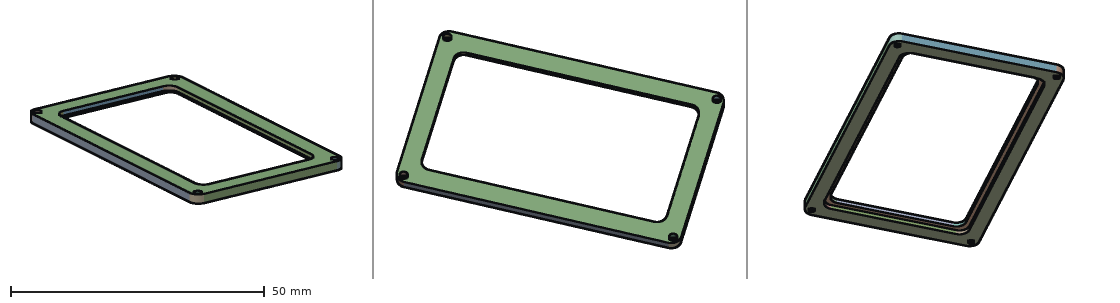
import cadquery as cq

length = 58.0
width = 36.0
thickness = 2.0
corner_radius = 2.05

window_length = 50.0
window_width = 28.0
window_radius = 2.05

lip_thickness = thickness / 2
rebate_depth = thickness - lip_thickness
rebate_margin = 1.0

hole_spacing_x = 55.0
hole_spacing_y = 33.0
hole_diameter = 1.2
counterbore_diameter = 1.6
counterbore_depth = 1.4


def rounded_plate(size_x, size_y, height, radius):
    """Plate centred on the Z axis, standing on Z = 0, with rounded vertical edges."""
    plate = cq.Workplane("XY").box(size_x, size_y, height, centered=(True, True, False))
    return plate.edges("|Z").fillet(radius)


plate = rounded_plate(length, width, thickness, corner_radius)
window = rounded_plate(window_length, window_width, thickness, window_radius)
rebate = rounded_plate(
    window_length + 2 * rebate_margin,
    window_width + 2 * rebate_margin,
    rebate_depth,
    window_radius,
)
frame = plate.cut(window).cut(rebate)

result = (
    frame.faces(">Z")
    .workplane(origin=(0, 0, thickness))
    .rarray(hole_spacing_x, hole_spacing_y, 2, 2)
    .cboreHole(hole_diameter, counterbore_diameter, counterbore_depth)
)